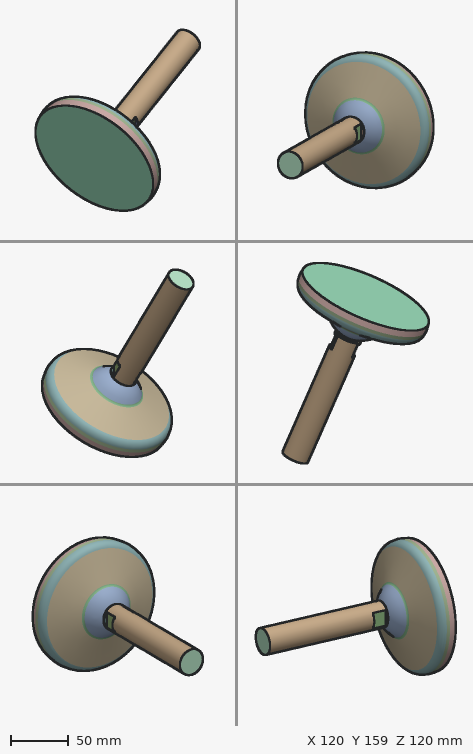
import cadquery as cq
import math

total_length = 159.0

sole_radius = 59.1
rim_diameter = 120.0
rim_radius = rim_diameter / 2
rim_height = 6.2
shoulder_radius = 59.6
shoulder_height = 9.2
cone_base_radius = 54.5
cone_base_height = 16.0
cone_top_radius = 25.3
cone_top_height = 26.4

dome_edge_radius = 23.4
dome_edge_height = 27.8
dome_sphere_radius = 29.1

collar_radius = 8.9
collar_bottom = 39.1
spindle_radius = 12.0
spindle_bottom = 39.6

flat_width = 19.1
flat_bottom = 41.2
flat_top = 53.7


def make_foot():
    """Revolve the plate and dome; the dome is cut flat under the collar."""
    sphere_center = dome_edge_height - math.sqrt(dome_sphere_radius**2 - dome_edge_radius**2)
    dome_top_radius = math.sqrt(dome_sphere_radius**2 - (collar_bottom - sphere_center) ** 2)
    mid_radius = (dome_edge_radius + dome_top_radius) / 2
    mid_height = sphere_center + math.sqrt(dome_sphere_radius**2 - mid_radius**2)
    profile = (
        cq.Workplane("XY")
        .lineTo(0, collar_bottom)
        .lineTo(dome_top_radius, collar_bottom)
        .threePointArc((mid_radius, mid_height), (dome_edge_radius, dome_edge_height))
        .tangentArcPoint((cone_top_radius, cone_top_height), relative=False)
        .lineTo(cone_base_radius, cone_base_height)
        .tangentArcPoint((shoulder_radius, shoulder_height), relative=False)
        .lineTo(rim_radius, rim_height)
        .lineTo(sole_radius, 0)
        .close()
    )
    return profile.revolve(360, (0, 0), (0, 1))


def make_rod(radius, bottom, top):
    """Make a round rod along Y between two heights."""
    return cq.Workplane("XZ", origin=(0, bottom, 0)).circle(radius).extrude(bottom - top)


def cut_wrench_flats(spindle):
    """Cut two parallel flats on the -X and +X sides of the spindle."""
    cut_depth = spindle_radius - flat_width / 2
    cut_center = flat_width / 2 + cut_depth / 2
    flat_length = flat_top - flat_bottom
    for side in (-1, 1):
        cutter = cq.Workplane("XY").box(cut_depth, flat_length, 2 * spindle_radius)
        spindle = spindle.cut(cutter.translate((side * cut_center, (flat_bottom + flat_top) / 2, 0)))
    return spindle


collar = make_rod(collar_radius, collar_bottom, spindle_bottom)
spindle = cut_wrench_flats(make_rod(spindle_radius, spindle_bottom, total_length))
result = make_foot().union(collar).union(spindle)